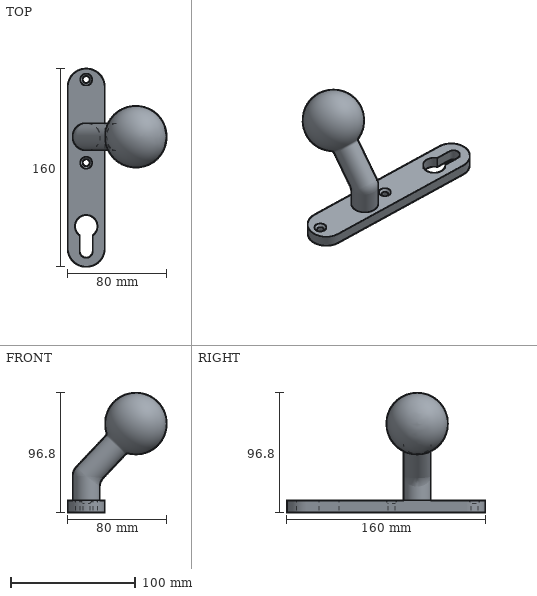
import cadquery as cq

plate_length = 160.0
plate_width = 30.0
plate_thickness = 10.0

screw_hole_diameter = 5.5
countersink_diameter = 9.6
countersink_angle = 90.0
screw_hole_y_positions = [71.0, 4.0]

keyhole_y = -47.2
keyhole_diameter = 18.0
key_slot_width = 10.2
key_slot_end_y = -72.5

knob_y = 25.0
stem_diameter = 22.0
elbow_height = 29.5
elbow_fillet = 10.0
ball_diameter = 50.0
ball_offset_x = 40.0
ball_height = 71.8
ball_fillet = 2.0


def drill_screw_holes(plate):
    return (
        plate.faces(">Z").workplane(origin=(0, 0, plate_thickness))
        .pushPoints([(0, y) for y in screw_hole_y_positions])
        .cskHole(screw_hole_diameter, countersink_diameter, countersink_angle)
    )


def cut_keyhole(plate):
    round_opening = (
        cq.Workplane("XY").center(0, keyhole_y)
        .circle(keyhole_diameter / 2)
        .extrude(plate_thickness)
    )
    slot_length = keyhole_y - key_slot_end_y
    slot = (
        cq.Workplane("XY").center(0, keyhole_y - slot_length / 2)
        .slot2D(slot_length, key_slot_width, 90)
        .extrude(plate_thickness)
    )
    return plate.cut(round_opening).cut(slot)


def make_plate():
    blank = cq.Workplane("XY").slot2D(plate_length, plate_width, 90).extrude(plate_thickness)
    return cut_keyhole(drill_screw_holes(blank))


def make_rod(start, end):
    axis = end - start
    return cq.Workplane(cq.Solid.makeCylinder(stem_diameter / 2, axis.Length, start, axis))


def make_sphere(centre, diameter):
    return cq.Workplane("XY", origin=centre.toTuple()).sphere(diameter / 2)


def make_knob():
    foot = cq.Vector(0, knob_y, plate_thickness)
    elbow = cq.Vector(0, knob_y, elbow_height)
    ball_centre = cq.Vector(ball_offset_x, knob_y, ball_height)

    stem = (
        make_rod(foot, elbow)
        .union(make_sphere(elbow, stem_diameter))
        .union(make_rod(elbow, ball_centre))
        .edges("%ELLIPSE").fillet(elbow_fillet)
    )

    reach = cq.Vector(ball_diameter, ball_diameter, ball_diameter) * 0.5
    ball_region = cq.selectors.BoxSelector(
        (ball_centre - reach).toTuple(), (ball_centre + reach).toTuple()
    )
    knob = stem.union(make_sphere(ball_centre, ball_diameter))
    return knob.edges(ball_region).edges("%CIRCLE").fillet(ball_fillet)


plate = make_plate()
knob = make_knob()
result = cq.Compound.makeCompound([plate.val(), knob.val()])